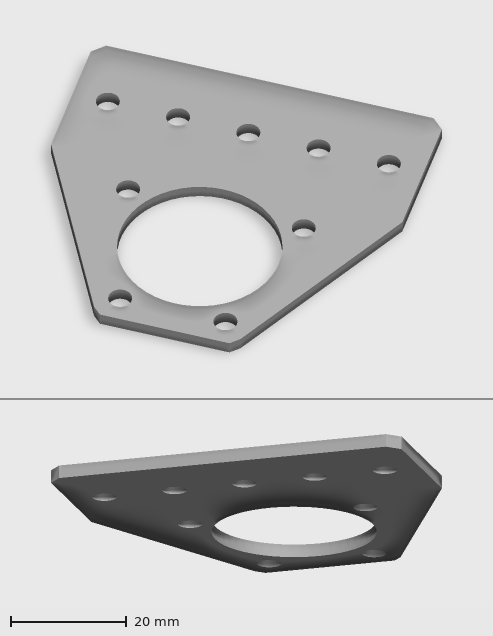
import cadquery as cq

INCH = 25.4

width = 2.5 * INCH
length = 2.4375 * INCH
thickness = 0.09 * INCH
side_length = 1.0 * INCH
back_corner_cut = 2.15
front_corner_cut = 1.52
front_edge_length = 23.44

screw_diameter = 4.15
row_pitch = 0.5 * INCH
row_count = 5
row_setback = 0.5 * INCH
bore_diameter = 1.125 * INCH
bore_setback = 1.625 * INCH
mount_long = 0.625 * INCH
mount_short = 0.375 * INCH

back_y = length / 2
front_y = -length / 2
bore_y = back_y - bore_setback


def plate():
    """Tapered plate, symmetric about the YZ plane, with cut corners."""
    half_width = width / 2
    half_front = front_edge_length / 2
    right_half = [
        (half_width - back_corner_cut, back_y),
        (half_width, back_y - back_corner_cut),
        (half_width, back_y - side_length),
        (half_front + front_corner_cut, front_y + front_corner_cut),
        (half_front, front_y),
    ]
    left_half = [(-x, y) for x, y in reversed(right_half)]
    return cq.Workplane("XY").polyline(right_half + left_half).close().extrude(thickness)


def through_holes(points, diameter):
    """Cylinders that cut through the plate at the given points."""
    return cq.Workplane("XY").pushPoints(points).circle(diameter / 2).extrude(thickness)


row_half_span = (row_count - 1) * row_pitch / 2
row_points = [(i * row_pitch - row_half_span, back_y - row_setback) for i in range(row_count)]
mount_points = [
    (side * dx, bore_y + dy)
    for side in (-1, 1)
    for dx, dy in ((mount_long, mount_short), (mount_short, -mount_long))
]

result = (
    plate()
    .cut(through_holes(row_points + mount_points, screw_diameter))
    .cut(through_holes([(0, bore_y)], bore_diameter))
)